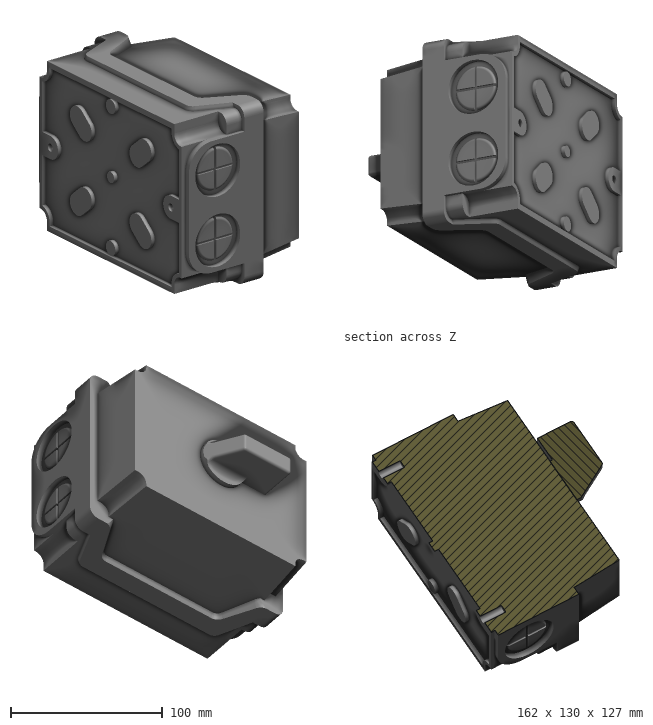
import cadquery as cq
import math

WIDTH = 162.0
HEIGHT = 127.0
HALF_WIDTH = WIDTH / 2
HALF_HEIGHT = HEIGHT / 2
RIM_BOTTOM = 48.8
RIM_TOP = 64.8
CORNER_RADIUS = 7.0

BASE_HALF_WIDTH = 76.8
BASE_HALF_HEIGHT = 60.5
NOTCH_X = 68.8
NOTCH_Z = 46.8
POST_HALF_WIDTH = 78.1
POST_BOTTOM = 36.3

RECESS_DEPTH = 2.9
RECESS_HALF_WIDTH = 74.0
RECESS_HALF_HEIGHT = 56.4
NOTCH_WALL = 2.9
TAB_X = 65.1
TAB_RADIUS = 8.3
TAB_HOLE_DIAMETER = 5.5
TAB_HOLE_DEPTH = 16.2
FOOT_Z = 50.4
FOOT_DIAMETER = 10.2
CENTRE_FOOT_DIAMETER = 7.8
PAD_X = 32.2
PAD_Z = 27.7
PAD_WIDTH = 15.9
PAD_CENTRE_DISTANCE = 10.0
PAD_ANGLE = 40.0

PANEL_BOTTOM = 2.8
PANEL_CORNER_RADIUS = 18.8
KNOCKOUT_Y = 26.7
KNOCKOUT_Z = 25.0
KNOCKOUT_DIAMETER = 37.3
DISC_DIAMETER = 30.8
DISC_HEIGHT = 1.5
DISC_EDGE_RADIUS = 2.1
DISC_ROUNDED_DEPTH = 2.3
CROSS_SLOT_WIDTH = 2.0

STRAP_BOTTOM = 21.7
STRAP_HALF_BOTTOM = 56.9
STRAP_HALF_TOP = 68.2
STRAP_CORNER_RADIUS = 5.7
TROUGH_BOTTOM = 35.2
TROUGH_HALF_BOTTOM = 48.6
TROUGH_HALF_TOP = 63.3
STRAP_DRAFT = 21.0
TROUGH_DRAFT = 18.0
STRAP_DEPTH = 6.5
STRAP_ROOT = 56.7
TROUGH_DEPTH = 7.3

COVER_TOP = 101.1
COVER_HALF_WIDTH = 74.8
COVER_HALF_HEIGHT = 57.0
COVER_NOTCH_X = 65.5
COVER_NOTCH_Z = 48.0
COVER_INSET = 2.9

KNOB_TOP = 130.0
KNOB_RADIUS = 17.5
FLANGE_TOP = 105.0
LEVER_BOTTOM = 102.7
LEVER_END = -36.8
LEVER_TOP_CORNER = 2.3
SLANT_FOOT = 17.0
LEVER_THICKNESS = 14.3
LEVER_EDGE_RADIUS = 2.1
KNOB_BLEND_RADIUS = 5.0


def plane_y(y):
    """Plane at height y whose local axes are X and Z; a negative extrusion runs along +Y."""
    return cq.Workplane("XZ", origin=(0, y, 0))


def block(half_x, y_low, y_high, half_z):
    """Box centred on the Y axis."""
    return plane_y(y_low).rect(2 * half_x, 2 * half_z).extrude(y_low - y_high)


def mirrored(x, z):
    """The four points at (+-x, +-z)."""
    return [(sx * x, sz * z) for sx in (-1, 1) for sz in (-1, 1)]


def on_both_z_sides(body):
    return body.union(body.mirror("XY"))


def notched_sketch(half_x, half_z, notch_x, notch_z, radius):
    """Rectangle whose corners are cut by square notches with rounded inner corners."""
    size = 4 * radius
    notch = cq.Sketch().rect(size, size).vertices().fillet(radius)
    return (
        cq.Sketch()
        .rect(2 * half_x, 2 * half_z)
        .push(mirrored(notch_x + size / 2, notch_z + size / 2))
        .each(lambda place: notch.moved(place), mode="s")
        .reset()
    )


def make_base():
    """Box with notched corners, and a short post in the upper end of each notch."""
    outline = notched_sketch(BASE_HALF_WIDTH, BASE_HALF_HEIGHT, NOTCH_X, NOTCH_Z, CORNER_RADIUS)
    base = plane_y(0).placeSketch(outline).extrude(-RIM_BOTTOM)
    posts = block(POST_HALF_WIDTH, POST_BOTTOM, RIM_BOTTOM, BASE_HALF_HEIGHT)
    return base.union(posts.edges("|Y").fillet(CORNER_RADIUS))


def make_rim():
    return block(HALF_WIDTH, RIM_BOTTOM, RIM_TOP, HALF_HEIGHT).edges("|Y").fillet(CORNER_RADIUS)


def make_panels():
    """Raised panels on both X sides, rounded at their lower corners."""
    panels = block(HALF_WIDTH, PANEL_BOTTOM, RIM_BOTTOM, NOTCH_Z)
    return panels.edges("|X and <Y").fillet(PANEL_CORNER_RADIUS)


def make_straps():
    """Trapezoids hanging from the rim, with drafted sides that narrow outwards."""
    lean = (STRAP_HALF_TOP - STRAP_HALF_BOTTOM) / (RIM_BOTTOM - STRAP_BOTTOM)
    half_root = STRAP_HALF_BOTTOM + lean * (STRAP_ROOT - STRAP_BOTTOM)
    corners = [
        (-half_root, STRAP_ROOT),
        (-STRAP_HALF_BOTTOM, STRAP_BOTTOM),
        (STRAP_HALF_BOTTOM, STRAP_BOTTOM),
        (half_root, STRAP_ROOT),
        (-half_root, STRAP_ROOT),
    ]
    outline = cq.Sketch().polygon(corners).vertices("<Y").fillet(STRAP_CORNER_RADIUS)
    outer_face = cq.Workplane("XY", origin=(0, 0, HALF_HEIGHT)).placeSketch(outline)
    return on_both_z_sides(outer_face.extrude(-STRAP_DEPTH, taper=-STRAP_DRAFT))


def make_troughs():
    """Cutters for the openings above the straps; they widen outwards and up to the rim top."""
    far_x = HALF_WIDTH + 3 * CORNER_RADIUS
    far_y = RIM_TOP + 3 * CORNER_RADIUS
    corners = [
        (-far_x, far_y),
        (-far_x, RIM_TOP),
        (-TROUGH_HALF_TOP, RIM_TOP),
        (-TROUGH_HALF_BOTTOM, TROUGH_BOTTOM),
        (TROUGH_HALF_BOTTOM, TROUGH_BOTTOM),
        (TROUGH_HALF_TOP, RIM_TOP),
        (far_x, RIM_TOP),
        (far_x, far_y),
        (-far_x, far_y),
    ]
    outline = cq.Sketch().polygon(corners).vertices().fillet(CORNER_RADIUS)
    outer_face = cq.Workplane("XY", origin=(0, 0, HALF_HEIGHT)).placeSketch(outline)
    return on_both_z_sides(outer_face.extrude(-TROUGH_DEPTH, taper=TROUGH_DRAFT))


def make_cover():
    """Drafted, notched cover above the rim."""
    bottom = notched_sketch(
        COVER_HALF_WIDTH, COVER_HALF_HEIGHT, COVER_NOTCH_X, COVER_NOTCH_Z, CORNER_RADIUS
    )
    top = notched_sketch(
        COVER_HALF_WIDTH - COVER_INSET,
        COVER_HALF_HEIGHT - COVER_INSET,
        COVER_NOTCH_X - COVER_INSET,
        COVER_NOTCH_Z - COVER_INSET,
        CORNER_RADIUS,
    )
    raised = top.moved(cq.Location(cq.Vector(0, 0, RIM_TOP - COVER_TOP)))
    return plane_y(RIM_TOP).placeSketch(bottom, raised).loft(ruled=True)


def make_cover_skirt():
    """The cover's drafted Z sides carried down into the troughs."""
    slope = COVER_INSET / (COVER_TOP - RIM_TOP)
    bottom = (STRAP_BOTTOM + TROUGH_BOTTOM) / 2
    half_z = COVER_HALF_HEIGHT + slope * (RIM_TOP - bottom)
    profile = [
        (bottom, -half_z),
        (RIM_TOP, -COVER_HALF_HEIGHT),
        (RIM_TOP, COVER_HALF_HEIGHT),
        (bottom, half_z),
    ]
    half_length = COVER_NOTCH_X
    return cq.Workplane("YZ").polyline(profile).close().extrude(half_length, both=True)


def make_recess():
    """Cutter for the mounting face, leaving the screw tabs and the feet standing."""
    outline = notched_sketch(
        RECESS_HALF_WIDTH,
        RECESS_HALF_HEIGHT,
        NOTCH_X - NOTCH_WALL,
        NOTCH_Z - NOTCH_WALL,
        CORNER_RADIUS + NOTCH_WALL,
    )
    recess = plane_y(0).placeSketch(outline).extrude(-RECESS_DEPTH)

    tab_length = 2 * (BASE_HALF_WIDTH - TAB_X + TAB_RADIUS)
    tab_ends = [(-BASE_HALF_WIDTH, 0), (BASE_HALF_WIDTH, 0)]
    tabs = plane_y(0).pushPoints(tab_ends).slot2D(tab_length, 2 * TAB_RADIUS).extrude(-RECESS_DEPTH)
    feet = (
        plane_y(0)
        .pushPoints([(0, -FOOT_Z), (0, FOOT_Z)])
        .circle(FOOT_DIAMETER / 2)
        .extrude(-RECESS_DEPTH)
    )
    centre_foot = plane_y(0).circle(CENTRE_FOOT_DIAMETER / 2).extrude(-RECESS_DEPTH)
    recess = recess.cut(tabs).cut(feet).cut(centre_foot)
    for x, z in mirrored(PAD_X, PAD_Z):
        angle = math.copysign(PAD_ANGLE, x * z)
        pad = (
            plane_y(0)
            .center(x, z)
            .slot2D(PAD_CENTRE_DISTANCE + PAD_WIDTH, PAD_WIDTH, angle)
            .extrude(-RECESS_DEPTH)
        )
        recess = recess.cut(pad)
    return recess


def make_tab_holes():
    holes = plane_y(0).pushPoints([(-TAB_X, 0), (TAB_X, 0)])
    return holes.circle(TAB_HOLE_DIAMETER / 2).extrude(-TAB_HOLE_DEPTH)


def make_knockout():
    """Cutter for one round recess in the -X side; a rounded disc split by a cross stays in it."""
    depth = HALF_WIDTH - BASE_HALF_WIDTH
    side = cq.Workplane("YZ", origin=(-BASE_HALF_WIDTH, KNOCKOUT_Y, 0))
    recess = side.circle(KNOCKOUT_DIAMETER / 2).extrude(-depth)
    buried = DISC_ROUNDED_DEPTH - DISC_HEIGHT
    disc = side.workplane(offset=buried).circle(DISC_DIAMETER / 2).extrude(-DISC_ROUNDED_DEPTH)
    disc = disc.faces("<X").edges().fillet(DISC_EDGE_RADIUS)
    for length_y, length_z in [
        (DISC_DIAMETER, CROSS_SLOT_WIDTH),
        (CROSS_SLOT_WIDTH, DISC_DIAMETER),
    ]:
        disc = disc.cut(side.rect(length_y, length_z).extrude(-DISC_HEIGHT))
    return recess.cut(disc)


def make_housing():
    housing = make_base().union(make_rim()).union(make_panels()).union(make_straps())
    housing = housing.cut(make_troughs()).union(make_cover_skirt()).union(make_cover())
    housing = housing.cut(make_recess()).cut(make_tab_holes())
    knockout = make_knockout()
    for z in (-KNOCKOUT_Z, KNOCKOUT_Z):
        left = knockout.translate((0, 0, z))
        housing = housing.cut(left).cut(left.mirror("YZ"))
    return housing


def lever_plate(x_low, thickness):
    """Plate from x_low to a slanted end on the +X side."""
    slant_lean = (SLANT_FOOT - LEVER_TOP_CORNER) / (KNOB_TOP - FLANGE_TOP)
    outline = [
        (x_low, LEVER_BOTTOM),
        (x_low, KNOB_TOP),
        (LEVER_TOP_CORNER, KNOB_TOP),
        (SLANT_FOOT + slant_lean * (FLANGE_TOP - LEVER_BOTTOM), LEVER_BOTTOM),
    ]
    return cq.Workplane("XY").polyline(outline).close().extrude(thickness / 2, both=True)


def make_blend():
    """Concave transition from the flange top to both faces of the lever."""
    inner = LEVER_THICKNESS / 2
    outer = inner + KNOB_BLEND_RADIUS
    top = FLANGE_TOP + KNOB_BLEND_RADIUS
    sag = KNOB_BLEND_RADIUS * (1 - math.sqrt(0.5))
    profile = (
        cq.Workplane("YZ")
        .moveTo(LEVER_BOTTOM, 0)
        .lineTo(LEVER_BOTTOM, KNOB_RADIUS)
        .lineTo(FLANGE_TOP, KNOB_RADIUS)
        .lineTo(FLANGE_TOP, outer)
        .threePointArc((FLANGE_TOP + sag, inner + sag), (top, inner))
        .lineTo(top, 0)
        .close()
    )
    blend = on_both_z_sides(profile.extrude(2 * KNOB_RADIUS, both=True))
    return blend.intersect(lever_plate(-KNOB_RADIUS, 2 * KNOB_RADIUS))


def make_lever():
    """Lever and blend in one piece, rounded on every edge above the flange."""
    lever = lever_plate(LEVER_END, LEVER_THICKNESS).union(make_blend())
    reach = 2 * KNOB_TOP
    above_flange = cq.selectors.BoxSelector((-reach, FLANGE_TOP, -reach), (reach, reach, reach))
    return lever.faces("<X or >X or >Y").edges(above_flange).fillet(LEVER_EDGE_RADIUS)


def make_knob():
    """Round flange and lever; beside the flange only the lever's overhang remains."""
    flange_block = block(KNOB_RADIUS, COVER_TOP, FLANGE_TOP, KNOB_RADIUS)
    column = plane_y(COVER_TOP).circle(KNOB_RADIUS).extrude(COVER_TOP - KNOB_TOP)
    overhang = (
        plane_y(LEVER_BOTTOM)
        .center(LEVER_END / 2, 0)
        .rect(-LEVER_END, LEVER_THICKNESS)
        .extrude(LEVER_BOTTOM - KNOB_TOP)
    )
    return flange_block.union(make_lever()).intersect(column.union(overhang))


housing = make_housing()
knob = make_knob()
result = cq.Compound.makeCompound([housing.val(), knob.val()])